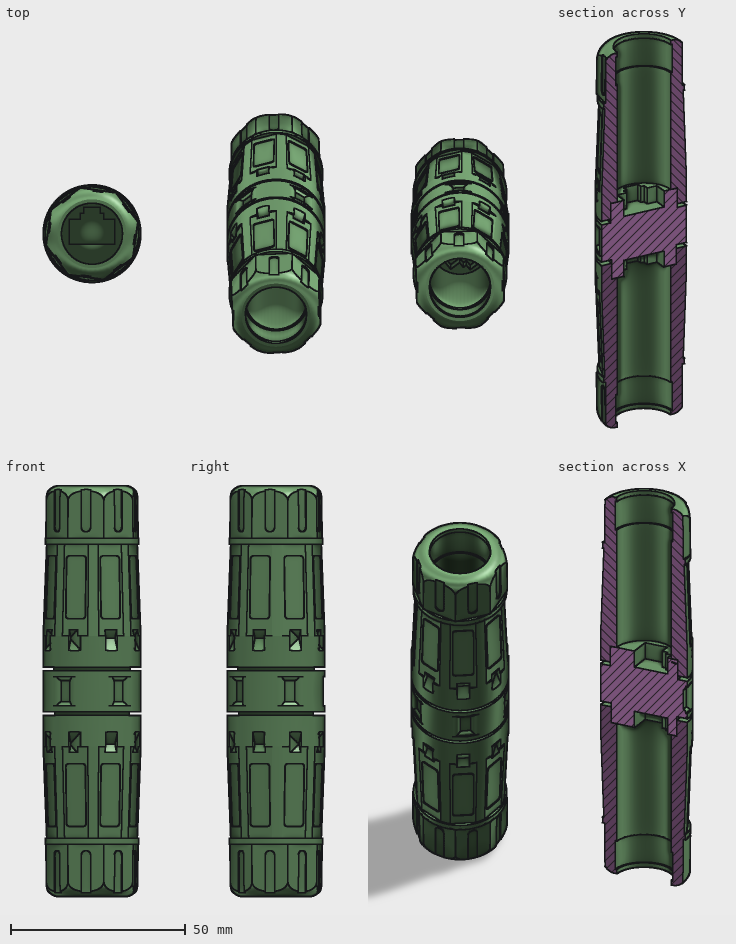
import cadquery as cq
import math

total_length = 117.7
coupler_length = 11.8
end_gap = 1.0
coupler_half = coupler_length / 2
housing_start = coupler_half + end_gap
housing_end = total_length / 2
nut_length = 15.0
band_length = 1.8
nut_start = housing_end - nut_length
taper_end = nut_start - band_length
taper_length = 26.2
taper_start = taper_end - taper_length

body_radius = 28.0 / 2
taper_end_radius = 13.0
band_radius = 26.8 / 2
nut_corner_radius = 13.65
rim_radius = 19.7 / 2
bore_radius = 17.5 / 2
undercut_radius = 18.5 / 2
upper_neck_radius = 22.0 / 2
lower_neck_radius = 10.7

grip_count = 8
grip_pitch = 360.0 / grip_count
nut_facet_angle = 262.0
body_flat_angle = 294.0

nut_apothem = nut_corner_radius * math.cos(math.pi / grip_count)
nut_draft = 0.5
nut_shrink = math.tan(math.radians(nut_draft))

shoulder_rounding = 4.3
shoulder_radius = 13.53
shoulder_centre_radius = shoulder_radius - shoulder_rounding
rim_angle = math.acos((rim_radius - shoulder_centre_radius) / shoulder_rounding)
shoulder_start = housing_end - shoulder_rounding * math.sin(rim_angle)
shoulder_middle = (
    shoulder_centre_radius + shoulder_rounding * math.cos(rim_angle / 2),
    shoulder_start + shoulder_rounding * math.sin(rim_angle / 2),
)

groove_width = 2.75
groove_depth = 0.35
groove_end = housing_end - 13.2

flat_half_angle = math.radians(16.2)
flat_start_radius = body_radius * math.cos(flat_half_angle)
flat_end_radius = taper_end_radius * math.cos(flat_half_angle)
flat_slope = (flat_start_radius - flat_end_radius) / taper_length
flat_tilt = math.degrees(math.atan(flat_slope))
panel_width = 6.0
panel_length = 18.0
panel_corner = 0.9
panel_depth = 0.25
panel_middle = housing_end - 29.1
panel_radius = flat_end_radius + flat_slope * (taper_end - panel_middle)

notch_width = 3.6
notch_top = housing_end - 41.3
notch_apex = housing_end - 43.7
notch_bottom = housing_end - 47.3
notch_depth = 1.9
notch_floor_radius = body_radius - notch_depth
notch_top_radius = 13.3

floor_angle = 225.0
floor_half_angle = math.radians(31.5)
floor_distance = body_radius * math.cos(floor_half_angle)

lip_length = 1.4
undercut_length = 8.8
neck_end = 12.0

pocket_count = 5
pocket_edge_angle = math.radians(15.3)
pocket_mouth_half_width = body_radius * math.sin(pocket_edge_angle)
pocket_edge_radius = body_radius * math.cos(pocket_edge_angle)
pocket_floor_half_width = 1.5
pocket_floor_radius = 12.8
pocket_floor_half_height = 2.95
pocket_mouth_half_height = 4.2

socket_half_width = 6.57
socket_bottom = -3.0
shoulder_y = 4.1
step_half_width = 3.37
step_y = 5.86
latch_half_width = 2.3
latch_y = 7.63
socket_depth = 5.0

margin = 5.0


def tangent_plane(angle, radius, z, tilt=0.0):
    """Plane facing outward at an angle round the axis, its local Y pointing up."""
    turn = math.radians(angle)
    lean = math.radians(tilt)
    outward = (math.cos(turn), math.sin(turn))
    normal = (outward[0] * math.cos(lean), outward[1] * math.cos(lean), math.sin(lean))
    origin = (outward[0] * radius, outward[1] * radius, z)
    return cq.Plane(origin=origin, xDir=(-outward[1], outward[0], 0), normal=normal)


def cylinder(radius, z_from, z_to):
    return cq.Workplane("XY").workplane(offset=z_from).circle(radius).extrude(z_to - z_from)


def grip_angles(first):
    return [first + grip_pitch * index for index in range(grip_count)]


def make_nut():
    nut = (
        cq.Workplane("XY").workplane(offset=nut_start)
        .polygon(grip_count, 2 * nut_corner_radius).extrude(nut_length, taper=nut_draft)
        .rotate((0, 0, 0), (0, 0, 1), nut_facet_angle + grip_pitch / 2)
    )
    envelope = (
        cq.Workplane("XZ")
        .moveTo(0, nut_start).lineTo(nut_corner_radius, nut_start)
        .lineTo(shoulder_radius, shoulder_start)
        .threePointArc(shoulder_middle, (rim_radius, housing_end))
        .lineTo(0, housing_end).close().revolve(360, (0, 0), (0, 1))
    )
    nut = nut.intersect(envelope)
    groove_length = housing_end + margin - groove_end
    groove_middle = groove_end + groove_length / 2
    groove_radius = nut_apothem - groove_depth - nut_shrink * (groove_middle - nut_start)
    for angle in grip_angles(nut_facet_angle):
        plane = tangent_plane(angle, groove_radius, groove_middle, nut_draft)
        nut = nut.cut(cq.Workplane(plane).slot2D(groove_length, groove_width, 90).extrude(margin))
    return nut


def radial_plane(angle):
    """Plane through the axis, its local X pointing outward and its local Y up."""
    turn = math.radians(angle)
    return cq.Plane(
        origin=(0, 0, 0),
        xDir=(math.cos(turn), math.sin(turn), 0),
        normal=(math.sin(turn), -math.cos(turn), 0),
    )


def make_flat_cutter(angle):
    outside = body_radius + margin
    return (
        cq.Workplane(radial_plane(angle))
        .polyline([
            (flat_start_radius, taper_start), (outside, taper_start),
            (outside, taper_end), (flat_end_radius, taper_end),
        ])
        .close().extrude(body_radius / 2, both=True)
    )


def make_panel_recess(angle):
    plane = tangent_plane(angle, panel_radius, panel_middle, flat_tilt)
    return (
        cq.Workplane(plane)
        .sketch().rect(panel_width, panel_length).vertices().fillet(panel_corner).finalize()
        .extrude(-panel_depth)
    )


def make_notch(angle):
    notch = (
        cq.Workplane(radial_plane(angle))
        .polyline([
            (body_radius, notch_bottom), (notch_floor_radius, notch_apex),
            (notch_top_radius, notch_top), (body_radius, notch_top),
        ])
        .close().extrude(notch_width / 2, both=True)
    )
    if abs(math.cos(math.radians(angle - floor_angle))) > math.cos(floor_half_angle):
        core = (
            cq.Workplane("XY").workplane(offset=notch_bottom)
            .rect(2 * floor_distance, 2 * body_radius).extrude(notch_top - notch_bottom)
            .rotate((0, 0, 0), (0, 0, 1), floor_angle)
        )
        notch = notch.cut(core)
    return notch


def make_grip():
    grip = (
        cq.Workplane("XZ")
        .polyline([
            (0, housing_start), (body_radius, housing_start), (body_radius, taper_start),
            (taper_end_radius, taper_end), (0, taper_end),
        ])
        .close().revolve(360, (0, 0), (0, 1))
    )
    for angle in grip_angles(body_flat_angle):
        grip = grip.cut(make_flat_cutter(angle)).cut(make_panel_recess(angle)).cut(make_notch(angle))
    return grip


def make_housing(neck_radius):
    housing = make_grip().union(cylinder(band_radius, taper_end, nut_start)).union(make_nut())
    undercut_end = housing_end - lip_length
    return (
        housing
        .cut(cylinder(bore_radius, housing_start, housing_end))
        .cut(cylinder(undercut_radius, undercut_end - undercut_length, undercut_end))
        .cut(cylinder(neck_radius, housing_start, neck_end))
    )


def pocket_profile(plane, floor_half, mouth_half, mouth_radius, surface_angle):
    """Solid of flared outline, local Y outward, whose rounded walls run into the surface."""
    run = mouth_half - floor_half
    rise = mouth_radius - pocket_floor_radius
    turn = math.atan2(rise, run) + surface_angle
    bulge = math.tan(turn / 2) / 2
    middle_x = floor_half + run / 2 - bulge * rise
    middle_y = pocket_floor_radius + rise / 2 + bulge * run
    outside = body_radius + margin
    return (
        cq.Workplane(plane)
        .moveTo(-floor_half, pocket_floor_radius).lineTo(floor_half, pocket_floor_radius)
        .threePointArc((middle_x, middle_y), (mouth_half, mouth_radius))
        .lineTo(mouth_half, outside).lineTo(-mouth_half, outside).lineTo(-mouth_half, mouth_radius)
        .threePointArc((-middle_x, middle_y), (-floor_half, pocket_floor_radius))
        .close().extrude(coupler_half, both=True)
    )


def make_pocket():
    """Pocket that opens toward +Y."""
    across = pocket_profile(
        cq.Plane.XY(), pocket_floor_half_width, pocket_mouth_half_width, pocket_edge_radius, pocket_edge_angle
    )
    along = pocket_profile(
        cq.Plane(origin=(0, 0, 0), xDir=(0, 0, 1), normal=(-1, 0, 0)),
        pocket_floor_half_height, pocket_mouth_half_height, pocket_edge_radius, 0.0,
    )
    return across.intersect(along)


def make_socket():
    right_side = [
        (socket_half_width, socket_bottom), (socket_half_width, shoulder_y),
        (step_half_width, shoulder_y), (step_half_width, step_y),
        (latch_half_width, step_y), (latch_half_width, latch_y),
    ]
    left_side = [(-x, y) for x, y in reversed(right_side)]
    return (
        cq.Workplane("XY").workplane(offset=neck_end - socket_depth)
        .polyline(right_side + left_side).close().extrude(socket_depth)
    )


def make_coupler():
    coupler = (
        cylinder(body_radius, -coupler_half, coupler_half)
        .union(cylinder(upper_neck_radius, 0, neck_end))
        .union(cylinder(lower_neck_radius, -neck_end, 0))
    )
    pocket = make_pocket()
    for index in range(pocket_count):
        coupler = coupler.cut(pocket.rotate((0, 0, 0), (0, 0, 1), 360.0 / pocket_count * index))
    socket = make_socket()
    return coupler.cut(socket).cut(socket.mirror("XY"))


coupler = make_coupler()
upper_housing = make_housing(upper_neck_radius)
lower_housing = make_housing(lower_neck_radius).mirror("XY")
result = cq.Compound.makeCompound([coupler.val(), upper_housing.val(), lower_housing.val()])